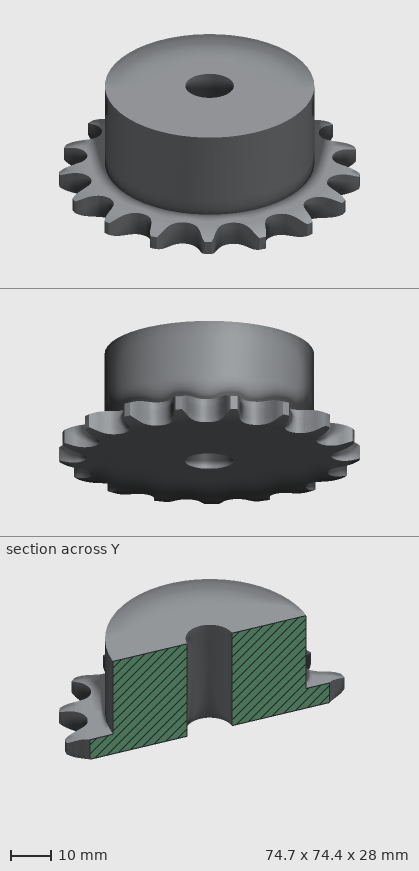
import cadquery as cq
import math

tooth_count = 17
chain_pitch = 12.7
roller_diameter = 7.9
tip_radius = 37.45
plate_thickness = 6.05
bevel_start_radius = 31.75
bevel_arc_radius = 12.7
hub_diameter = 52.0
bore_diameter = 12.0
total_height = 28.0
seating_diameter = 8.1

tooth_step = 360 / tooth_count
pitch_radius = chain_pitch / (2 * math.sin(math.pi / tooth_count))

seating_angle = 35 + 60 / tooth_count
working_angle = 18 - 56 / tooth_count
topping_angle = 17 - 64 / tooth_count
topping_sweep = 30
seating_radius = seating_diameter / 2
working_center_ratio = 0.8
topping_center_ratio = 1.4
working_center_distance = working_center_ratio * roller_diameter
working_radius = working_center_distance + seating_radius
topping_center_distance = topping_center_ratio * roller_diameter
flank_length = (
    topping_center_distance * math.sin(math.radians(topping_angle))
    - working_center_distance * math.sin(math.radians(working_angle))
)
topping_radius = (
    working_center_distance * math.cos(math.radians(working_angle))
    + topping_center_distance * math.cos(math.radians(topping_angle))
    - working_radius
)


def offset(point, distance, angle):
    """Point at a distance and an angle in degrees from another point."""
    turn = math.radians(angle)
    return (point[0] + distance * math.cos(turn), point[1] + distance * math.sin(turn))


def mirrored(point):
    """Point reflected across the centre line of the tooth gap."""
    return (-point[0], point[1])


def make_blank():
    """Toothless disc whose rim is rounded off towards the tips on both faces."""
    rim_angle = math.degrees(math.asin((tip_radius - bevel_start_radius) / bevel_arc_radius))
    lower_center = (bevel_start_radius, bevel_arc_radius)
    upper_center = (bevel_start_radius, plate_thickness - bevel_arc_radius)
    lower_rim = offset(lower_center, bevel_arc_radius, -90 + rim_angle)
    lower_middle = offset(lower_center, bevel_arc_radius, -90 + rim_angle / 2)
    upper_rim = offset(upper_center, bevel_arc_radius, 90 - rim_angle)
    upper_middle = offset(upper_center, bevel_arc_radius, 90 - rim_angle / 2)
    return (
        cq.Workplane("XZ")
        .lineTo(bevel_start_radius, 0)
        .threePointArc(lower_middle, lower_rim)
        .lineTo(*upper_rim)
        .threePointArc(upper_middle, (bevel_start_radius, plate_thickness))
        .lineTo(0, plate_thickness)
        .close()
        .revolve(360, (0, 0), (0, 1))
    )


def make_tooth_gap():
    """Cutter for the gap on the +Y axis; points are named on its +X side."""
    roller_center = (0, pitch_radius)
    seat_bottom = offset(roller_center, seating_radius, -90)
    seat_end = offset(roller_center, seating_radius, -seating_angle)

    flank_normal = working_angle - seating_angle
    working_center = offset(roller_center, working_center_distance, 180 - seating_angle)
    working_middle = offset(working_center, working_radius, flank_normal - working_angle / 2)
    working_end = offset(working_center, working_radius, flank_normal)
    flank_end = offset(working_end, flank_length, flank_normal + 90)

    topping_center = offset(flank_end, topping_radius, flank_normal)
    topping_start_angle = flank_normal + 180
    topping_middle = offset(topping_center, topping_radius, topping_start_angle - topping_sweep / 2)
    topping_end = offset(topping_center, topping_radius, topping_start_angle - topping_sweep)
    outer_point = (0, tip_radius + roller_diameter)

    return (
        cq.Workplane("XY")
        .moveTo(*outer_point)
        .lineTo(*mirrored(topping_end))
        .threePointArc(mirrored(topping_middle), mirrored(flank_end))
        .lineTo(*mirrored(working_end))
        .threePointArc(mirrored(working_middle), mirrored(seat_end))
        .threePointArc(seat_bottom, seat_end)
        .threePointArc(working_middle, working_end)
        .lineTo(*flank_end)
        .threePointArc(topping_middle, topping_end)
        .close()
        .extrude(plate_thickness)
    )


sprocket = make_blank()
tooth_gap = make_tooth_gap()
for index in range(tooth_count):
    gap_angle = index * tooth_step
    sprocket = sprocket.cut(tooth_gap.rotate((0, 0, 0), (0, 0, 1), gap_angle))

hub = cq.Workplane("XY").circle(hub_diameter / 2).extrude(total_height)
bore = cq.Workplane("XY").circle(bore_diameter / 2).extrude(total_height)
result = sprocket.union(hub).cut(bore)